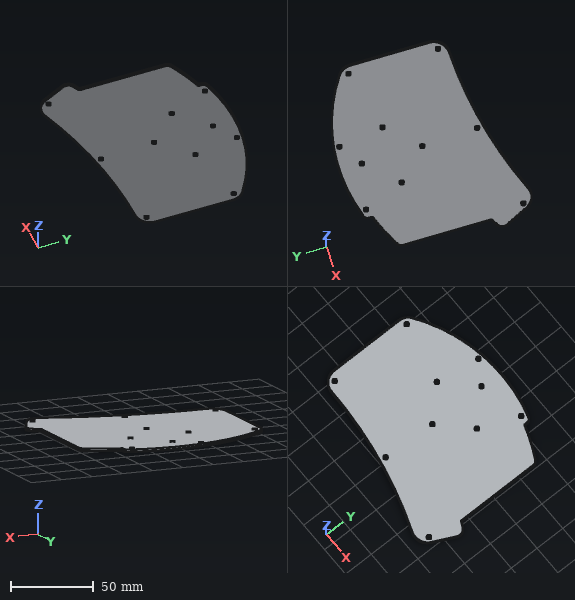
import cadquery as cq
import math

length = 129.1
thickness = 1.5
hole_diameter = 2.5

lower_left = (0, 18.9)
upper_left = (0, 83.5)
crown_end = (99.3, 100.5)
step_foot = (99.3, 96.2)
upper_right = (122.7, 86.1)
lobe_root = (122.7, 28.0)

lobe_angle = math.radians(64)
lobe_side = 29.7
lobe_radius = 4.9
along_x, along_y = math.cos(lobe_angle), math.sin(lobe_angle)
across_x, across_y = along_y, -along_x
lobe_reach = length - lobe_root[0] - lobe_radius + lobe_radius * (across_x + along_x)
lobe_top = lobe_reach / across_x
lobe_tip = (lobe_root[0] + lobe_top * across_x, lobe_root[1] + lobe_top * across_y)
lobe_bottom = (lobe_tip[0] - lobe_side * along_x, lobe_tip[1] - lobe_side * along_y)

crown_middle = (64.5, 105.7)
shoulder_middle = (111.2, 91.8)
bottom_middle = (64.5, 13.5)

rounded_corners = [
    (lower_left, 9.7),
    (upper_left, 9.7),
    (crown_end, 3.2),
    (upper_right, 3.9),
    (lobe_tip, lobe_radius),
    (lobe_bottom, 9.7),
]

pattern_center = (63.9, 72.3)
pattern_radius = 19.1

rim_holes = [
    (4.9, 81.2),
    (49.2, 101.0),
    (93.6, 98.1),
    (5.5, 24.8),
    (62.5, 18.1),
    (118.3, 6.5),
]


def make_plate():
    plate = (
        cq.Workplane("XY")
        .moveTo(*lower_left)
        .lineTo(*upper_left)
        .threePointArc(crown_middle, crown_end)
        .lineTo(*step_foot)
        .threePointArc(shoulder_middle, upper_right)
        .lineTo(*lobe_root)
        .lineTo(*lobe_tip)
        .lineTo(*lobe_bottom)
        .threePointArc(bottom_middle, lower_left)
        .close()
        .extrude(thickness)
    )
    for (x, y), radius in rounded_corners:
        corner_edge = cq.selectors.NearestToPointSelector((x, y, thickness / 2))
        plate = plate.edges("|Z").edges(corner_edge).fillet(radius)
    return plate


def make_holes():
    pattern = (
        cq.Workplane("XY")
        .center(*pattern_center)
        .polarArray(pattern_radius, 0, 360, 4)
        .circle(hole_diameter / 2)
        .extrude(thickness)
    )
    rim = cq.Workplane("XY").pushPoints(rim_holes).circle(hole_diameter / 2).extrude(thickness)
    return pattern.add(rim)


result = make_plate()
for hole in make_holes().vals():
    result = result.cut(cq.Workplane(hole))